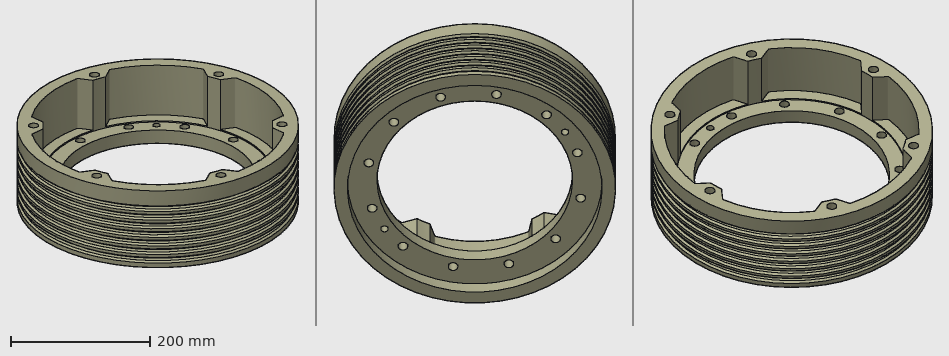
import cadquery as cq
import math

OUTER_RADIUS = 202.0
HEIGHT = 125.0

BORE_RADIUS = 140.0
FLANGE_BOTTOM = 20.0
FLANGE_TOP = 42.0
SEAT_RADIUS = 165.0
POCKET_FLOOR = 44.0
POCKET_RADIUS = 182.5
UNDERCUT_RADIUS = POCKET_RADIUS

BOSS_COUNT = 6
BOSS_TIP_HALF_WIDTH = 10.5
BOSS_SIDE_ANGLE = 45.0
BOSS_FIRST_ANGLE = 30.0
POCKET_CORNER_RADIUS = 2.5

BLIND_CIRCLE_RADIUS = 178.0
BLIND_DIAMETER = 14.0
BLIND_DEPTH = 32.5
DRILL_POINT_ANGLE = 118.0

FLANGE_CIRCLE_RADIUS = 155.0
FLANGE_HOLE_COUNT = 12
FLANGE_HOLE_FIRST_ANGLE = 15.0
FLANGE_HOLE_DIAMETER = 13.7
DOWEL_DIAMETER = 10.5
DOWEL_COUNT = 2
DOWEL_FIRST_ANGLE = 120.0

GROOVE_COUNT = 7
TOP_GROOVE_DEPTH = 29.0
BOTTOM_GROOVE_Z = 12.0
GROOVE_FLOOR_RADIUS = 191.0
GROOVE_WIDTH = 5.0
MOUTH_WIDTH = 9.3
MOUTH_DEPTH = 3.5


def polar_points(radius, count, first_angle):
    """Evenly spaced points on a circle about the ring axis."""
    angles = [math.radians(first_angle + i * 360.0 / count) for i in range(count)]
    return [(radius * math.cos(a), radius * math.sin(a)) for a in angles]


def cylinder(radius, bottom, top):
    return cq.Workplane("XY").workplane(offset=bottom).circle(radius).extrude(top - bottom)


def make_boss():
    """Tapered boss on the +X axis, its tip rounded to the seat radius."""
    tip_x = math.sqrt(SEAT_RADIUS**2 - BOSS_TIP_HALF_WIDTH**2)
    root_x = OUTER_RADIUS
    root_half_width = BOSS_TIP_HALF_WIDTH + (root_x - tip_x) * math.tan(math.radians(BOSS_SIDE_ANGLE))
    return (
        cq.Workplane("XY")
        .workplane(offset=POCKET_FLOOR)
        .moveTo(root_x, -root_half_width)
        .lineTo(tip_x, -BOSS_TIP_HALF_WIDTH)
        .threePointArc((SEAT_RADIUS, 0), (tip_x, BOSS_TIP_HALF_WIDTH))
        .lineTo(root_x, root_half_width)
        .close()
        .extrude(HEIGHT - POCKET_FLOOR)
    )


def make_pockets():
    """Pockets between the bosses, with rounded outer corners."""
    pockets = cylinder(POCKET_RADIUS, POCKET_FLOOR, HEIGHT).cut(
        cylinder(SEAT_RADIUS, POCKET_FLOOR, HEIGHT)
    )
    boss = make_boss()
    for i in range(BOSS_COUNT):
        angle = BOSS_FIRST_ANGLE + i * 360.0 / BOSS_COUNT
        pockets = pockets.cut(boss.rotate((0, 0, 0), (0, 0, 1), angle))

    middle_radius = (SEAT_RADIUS + POCKET_RADIUS) / 2
    outer_corners = [
        edge
        for edge in pockets.edges("|Z").vals()
        if math.hypot(edge.Center().x, edge.Center().y) > middle_radius
    ]
    return pockets.newObject(outer_corners).fillet(POCKET_CORNER_RADIUS)


def make_groove(center_z):
    """Revolved groove cutter, narrow at the floor and flared at the mouth."""
    half_floor = GROOVE_WIDTH / 2
    half_mouth = MOUTH_WIDTH / 2
    flare_radius = OUTER_RADIUS - MOUTH_DEPTH
    profile = [
        (GROOVE_FLOOR_RADIUS, center_z - half_floor),
        (flare_radius, center_z - half_floor),
        (OUTER_RADIUS, center_z - half_mouth),
        (OUTER_RADIUS, center_z + half_mouth),
        (flare_radius, center_z + half_floor),
        (GROOVE_FLOOR_RADIUS, center_z + half_floor),
    ]
    return cq.Workplane("XZ").polyline(profile).close().revolve(360, (0, 0, 0), (0, 1, 0))


def make_blind_holes():
    """Flat-topped drill shapes ending in a conical point."""
    radius = BLIND_DIAMETER / 2
    shoulder_z = HEIGHT - BLIND_DEPTH
    point_z = shoulder_z - radius / math.tan(math.radians(DRILL_POINT_ANGLE / 2))
    drill = (
        cq.Workplane("XZ")
        .polyline([(0, HEIGHT), (radius, HEIGHT), (radius, shoulder_z), (0, point_z)])
        .close()
        .revolve(360, (0, 0, 0), (0, 1, 0))
        .val()
    )
    centers = polar_points(BLIND_CIRCLE_RADIUS, BOSS_COUNT, BOSS_FIRST_ANGLE)
    return cq.Workplane("XY").pushPoints(centers).eachpoint(lambda place: drill.moved(place))


def make_flange_holes(count, first_angle, diameter):
    """Straight drills for holes on the flange hole circle."""
    centers = polar_points(FLANGE_CIRCLE_RADIUS, count, first_angle)
    return cq.Workplane("XY").pushPoints(centers).circle(diameter / 2).extrude(HEIGHT)


body = cylinder(OUTER_RADIUS, 0, HEIGHT)
body = body.cut(cylinder(BORE_RADIUS, 0, HEIGHT))
body = body.cut(cylinder(SEAT_RADIUS, FLANGE_TOP, HEIGHT))
body = body.cut(cylinder(UNDERCUT_RADIUS, 0, FLANGE_BOTTOM))

groove_pitch = (HEIGHT - TOP_GROOVE_DEPTH - BOTTOM_GROOVE_Z) / (GROOVE_COUNT - 1)
for i in range(GROOVE_COUNT):
    body = body.cut(make_groove(BOTTOM_GROOVE_Z + i * groove_pitch))

body = body.cut(make_pockets())
body = body.cut(make_blind_holes())
body = body.cut(make_flange_holes(FLANGE_HOLE_COUNT, FLANGE_HOLE_FIRST_ANGLE, FLANGE_HOLE_DIAMETER))
body = body.cut(make_flange_holes(DOWEL_COUNT, DOWEL_FIRST_ANGLE, DOWEL_DIAMETER))

result = body